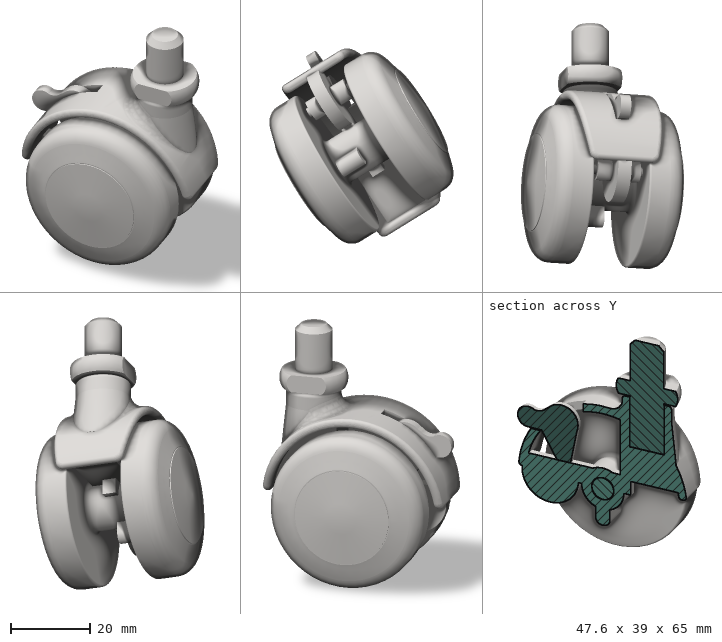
import cadquery as cq
import math


hub_radius = 6.0
hub_half_width = 6.4
axle_radius = 3.0
axle_half_length = 14.0

wheel_radius = 20.0
wheel_inner_y = 7.25
wheel_rim_fillet = 0.5
wheel_apex_y = 19.5
cap_radius = 12.3
cap_edge_y = 18.1
cap_step = 0.25
shoulder_angle = math.radians(17)
shoulder_fillet = 3.9
boss_fillet = wheel_inner_y - hub_half_width

fender_outer = 23.8
fender_inner = 21.5
fender_top_half_width = 11.1
fender_mid_half_width = 10.6
fender_mid_z = 13.6
fender_low_half_width = 8.6
fender_corner = 2.0
fender_edge_fillet = 1.0
fender_bottom_z = 1.6
fender_tilt = 1.2

neck_x = 12.45
neck_radius = 7.0
neck_top_z = 28.3
neck_top_fillet = 1.0
neck_root_fillet = 3.0
skirt_top_z = 24.0
skirt_bottom_z = 12.0
skirt_taper = 6.0
core_left_x = 4.9
core_bottom_z = 3.9
core_half_width = 5.6

web_thickness = 3.5
web_radius = 8.0
web_x = -14.8
web_z = 0.5
web_top_z = 5.3
web_right_x = 8.0
cross_boss_radius = 2.7
journal_radius = 1.25
leg_width = 4.2
leg_bottom_z = -10.6

slot_right_x = -5.6
slot_bottom_z = 12.55

stud_radius = 4.76
stud_top_z = 45.0
stud_chamfer = 1.45
shank_bottom_z = 14.0
collar_bottom_z = 28.5
collar_top_z = 33.0
collar_radius = 8.74
collar_edge_radius = 8.1
collar_flat_y = 7.05

lever_thickness = 2.65
grip_radius = 3.0
grip_x = -21.03
grip_z = 15.67
head_radius = 4.8
head_x = -11.7
head_z = 16.5
arm_lower_edge = (-17.3, 12.65)
arm_foot_left_x = -13.0
arm_foot_right_x = -9.0
arm_hollow_start = (-16.1, 19.1)
arm_hollow_mid = (-17.6, 18.2)
arm_hollow_end = (-19.5, 18.2)
arm_head_start = (-14.0, 20.7)


def y_cylinder(radius, y_start, y_end, x=0.0, z=0.0):
    """Cylinder along Y."""
    return cq.Workplane("XZ", origin=(x, y_start, z)).circle(radius).extrude(y_start - y_end)


def block(x_start, x_end, y_start, y_end, z_start, z_end):
    """Box given by its limits on each axis."""
    return cq.Workplane("XY").box(
        x_end - x_start, y_end - y_start, z_end - z_start, centered=False
    ).translate((x_start, y_start, z_start))


def make_wheel(side):
    """Domed wheel on the +Y (side = 1) or -Y (side = -1) end of the axle."""
    step_radius = cap_radius + cap_step
    step_y = cap_edge_y - cap_step
    shoulder_y = step_y - (wheel_radius - step_radius) * math.tan(shoulder_angle)
    tangent = shoulder_fillet * math.tan((math.pi / 2 - shoulder_angle) / 2)
    shoulder_start = (
        wheel_radius - tangent * math.cos(shoulder_angle),
        shoulder_y + tangent * math.sin(shoulder_angle),
    )
    arc_centre = (wheel_radius - shoulder_fillet, shoulder_y - tangent)
    arc_mid_angle = (math.pi / 2 - shoulder_angle) / 2
    shoulder_mid = (
        arc_centre[0] + shoulder_fillet * math.cos(arc_mid_angle),
        arc_centre[1] + shoulder_fillet * math.sin(arc_mid_angle),
    )
    boss_arc_mid = boss_fillet * (1 - math.sqrt(0.5))
    rim_arc_mid = wheel_rim_fillet * (1 - math.sqrt(0.5))
    half_section = (
        cq.Workplane("XY")
        .moveTo(0, wheel_apex_y)
        .lineTo(cap_radius, cap_edge_y)
        .lineTo(cap_radius, step_y)
        .lineTo(step_radius, step_y)
        .lineTo(*shoulder_start)
        .threePointArc(shoulder_mid, (wheel_radius, arc_centre[1]))
        .lineTo(wheel_radius, wheel_inner_y + wheel_rim_fillet)
        .threePointArc(
            (wheel_radius - rim_arc_mid, wheel_inner_y + rim_arc_mid),
            (wheel_radius - wheel_rim_fillet, wheel_inner_y),
        )
        .lineTo(hub_radius + boss_fillet, wheel_inner_y)
        .threePointArc(
            (hub_radius + boss_arc_mid, wheel_inner_y - boss_arc_mid),
            (hub_radius, hub_half_width),
        )
        .lineTo(axle_radius, hub_half_width)
        .lineTo(axle_radius, axle_half_length)
        .lineTo(0, axle_half_length)
        .close()
    )
    wheel = half_section.revolve(360, (0, 0, 0), (0, 1, 0))
    return wheel if side > 0 else wheel.mirror("XZ")


def make_fender():
    """Curved mudguard whose sides narrow downward, with rounded edges, tilted slightly to one side."""
    blank_half_width = fender_top_half_width + 1
    ring = y_cylinder(fender_outer, -blank_half_width, blank_half_width)
    ring = ring.cut(y_cylinder(fender_inner, -blank_half_width, blank_half_width))
    silhouette = (
        cq.Workplane("YZ")
        .moveTo(-fender_low_half_width, fender_bottom_z)
        .lineTo(fender_low_half_width, fender_bottom_z)
        .threePointArc((fender_mid_half_width, fender_mid_z), (fender_top_half_width, fender_outer))
        .lineTo(fender_top_half_width, fender_outer + 1)
        .lineTo(-fender_top_half_width, fender_outer + 1)
        .lineTo(-fender_top_half_width, fender_outer)
        .threePointArc((-fender_mid_half_width, fender_mid_z), (-fender_low_half_width, fender_bottom_z))
        .close()
        .extrude(fender_outer + 1, both=True)
        .edges("|X and <Z")
        .fillet(fender_corner)
    )
    fender = ring.intersect(silhouette).edges("|Y or %BSPLINE").fillet(fender_edge_fillet)
    return fender.rotate((0, 0, 0), (0, 1, 0), -fender_tilt)


def make_fender_with_neck():
    """Fender with a round neck blended in, and a tapered skirt that flares out below the neck."""
    inside = y_cylinder((fender_outer + fender_inner) / 2, -fender_outer, fender_outer)
    neck = (
        cq.Workplane("XY", origin=(neck_x, 0, 0))
        .circle(neck_radius)
        .extrude(neck_top_z)
        .faces(">Z")
        .edges()
        .fillet(neck_top_fillet)
        .cut(inside)
    )
    skirt = (
        cq.Workplane("XY", origin=(neck_x, 0, skirt_top_z))
        .circle(neck_radius)
        .extrude(skirt_bottom_z - skirt_top_z, taper=-skirt_taper)
        .cut(inside)
    )
    neck_root = cq.selectors.BoxSelector(
        (neck_x - neck_radius, -neck_radius / 2, skirt_bottom_z),
        (neck_x + neck_radius, neck_radius / 2, skirt_top_z - neck_top_fillet),
    )
    blended = make_fender().union(neck).edges("%BSPLINE").edges(neck_root).fillet(neck_root_fillet)
    return blended.union(skirt)


def make_housing():
    """Fender, neck, core, web, hub, cross boss and stop leg in one piece."""
    housing = make_fender_with_neck()

    inside_radius = (fender_outer + fender_inner) / 2
    core = block(core_left_x, fender_outer, -core_half_width, core_half_width, core_bottom_z, fender_outer)
    core = core.intersect(y_cylinder(inside_radius, -core_half_width, core_half_width))

    half_web = web_thickness / 2
    web = y_cylinder(web_radius, -half_web, half_web, web_x, web_z)
    web = web.union(block(web_x, web_right_x, -half_web, half_web, 0, web_top_z + web_radius))
    web = web.intersect(block(-fender_outer, fender_outer, -half_web, half_web, -fender_outer, web_top_z))

    hub = y_cylinder(hub_radius, -hub_half_width, hub_half_width)
    cross_boss = y_cylinder(cross_boss_radius, -core_half_width, core_half_width, web_x, web_z)
    journals = y_cylinder(journal_radius, -hub_half_width, hub_half_width, web_x, web_z)
    leg_radius = leg_width / 2
    leg_round_z = leg_bottom_z + leg_radius
    leg = block(-leg_radius, leg_radius, 0, hub_half_width, leg_round_z, 0)
    leg = leg.union(y_cylinder(leg_radius, 0, hub_half_width, 0, leg_round_z))

    for part in (core, web, hub, cross_boss, journals, leg):
        housing = housing.union(part)

    slot = block(-fender_outer, slot_right_x, -half_web, half_web, slot_bottom_z, fender_outer)
    shank_bore = cq.Workplane("XY", origin=(neck_x, 0, shank_bottom_z)).circle(stud_radius).extrude(stud_top_z)
    axle_bore = y_cylinder(axle_radius, -hub_half_width, hub_half_width)
    return housing.cut(slot).cut(shank_bore).cut(axle_bore)


def make_stem():
    """Threaded stud with a flatted, bulged collar and a shank pressed into the neck."""
    collar_mid_z = (collar_bottom_z + collar_top_z) / 2
    collar = (
        cq.Workplane("XZ")
        .moveTo(0, collar_bottom_z)
        .lineTo(collar_edge_radius, collar_bottom_z)
        .threePointArc((collar_radius, collar_mid_z), (collar_edge_radius, collar_top_z))
        .lineTo(0, collar_top_z)
        .close()
        .revolve(360, (0, 0, 0), (0, 1, 0))
    )
    collar = collar.intersect(
        block(-collar_radius, collar_radius, -collar_flat_y, collar_flat_y, collar_bottom_z, collar_top_z)
    )
    stud = (
        cq.Workplane("XY", origin=(0, 0, shank_bottom_z))
        .circle(stud_radius)
        .extrude(stud_top_z - shank_bottom_z)
        .faces(">Z")
        .chamfer(stud_chamfer)
    )
    return stud.union(collar).translate((neck_x, 0, 0))


def make_brake_lever():
    """Lever that reaches through the fender slot and stands on the flat top of the web."""
    half_thickness = lever_thickness / 2
    arm = (
        cq.Workplane("XZ")
        .moveTo(grip_x, grip_z - grip_radius)
        .lineTo(*arm_lower_edge)
        .lineTo(arm_foot_left_x, web_top_z)
        .lineTo(arm_foot_right_x, web_top_z)
        .lineTo(head_x + head_radius, head_z)
        .lineTo(head_x, head_z)
        .lineTo(*arm_head_start)
        .lineTo(*arm_hollow_start)
        .threePointArc(arm_hollow_mid, arm_hollow_end)
        .lineTo(grip_x, grip_z)
        .close()
        .extrude(half_thickness, both=True)
    )
    grip = y_cylinder(grip_radius, -half_thickness, half_thickness, grip_x, grip_z)
    head = y_cylinder(head_radius, -half_thickness, half_thickness, head_x, head_z)
    return arm.union(grip).union(head)


axle = y_cylinder(axle_radius, -axle_half_length, axle_half_length)
bodies = [make_housing(), make_stem(), make_brake_lever(), axle]
for side in (-1, 1):
    bodies.append(make_wheel(side))

result = cq.Compound.makeCompound([body.solids().val() for body in bodies])